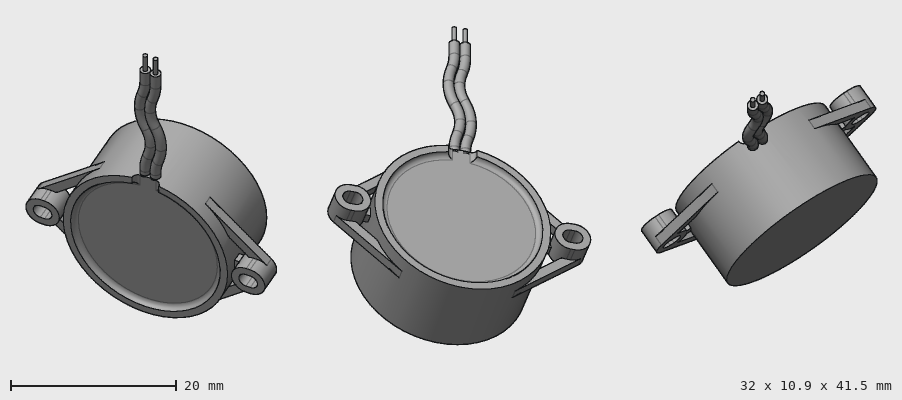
import cadquery as cq
import math

housing_radius = 11.0
housing_depth = 10.9

recess_radius = 10.0
recess_depth = 0.7
notch_half_width = 1.8

overall_width = 32.0
ear_depth = 3.28
ear_length = 4.5
ear_height = 4.0
ear_slot_length = 2.5
ear_slot_height = 1.9
ear_x = (overall_width - ear_length) / 2
arm_thickness = 1.3
arm_width = 1.25
stub_height = 1.2

overall_height = 41.5
sheath_diameter = 1.33
core_diameter = 0.6
wire_pitch = 1.35
wire_y = 1.4
socket_depth = 0.25
sheath_bottom = housing_radius - socket_depth
bend_bottom = 11.58
bend_top = 26.05
sheath_top = 28.1
core_top = overall_height - housing_radius
wave_amplitude = 0.725
wave_peak_spacing = 5.73


def front_plane(y):
    """Sketch plane facing -Y, with local axes along X and Z."""
    return cq.Workplane("XZ", origin=(0, y, 0))


def slot_prism(length, height, depth):
    """Round-ended bar at an ear position, running back from the front face."""
    return front_plane(0).center(ear_x, 0).slot2D(length, height).extrude(-depth)


def ear_arm():
    """Flat arm whose outer edge is tangent to both the ear end and the drum."""
    end_radius = ear_height / 2
    end_x = ear_x + (ear_length - ear_height) / 2
    slope = math.asin((housing_radius - end_radius) / end_x)
    normal_x = math.sin(slope)
    normal_z = math.cos(slope)
    inner_end_radius = end_radius - arm_width
    inner_drum_radius = housing_radius - arm_width
    outline = [
        (end_x + end_radius * normal_x, end_radius * normal_z),
        (housing_radius * normal_x, housing_radius * normal_z),
        (inner_drum_radius * normal_x, inner_drum_radius * normal_z),
        (end_x + inner_end_radius * normal_x, inner_end_radius * normal_z),
    ]
    return front_plane(ear_depth).polyline(outline).close().extrude(arm_thickness)


def ear_body():
    """Right-hand ear with its two arms and central stub, before slotting."""
    arm = ear_arm()
    stub_start = housing_radius / 2
    stub_length = ear_x - stub_start
    stub = (
        front_plane(ear_depth)
        .center(stub_start + stub_length / 2, 0)
        .rect(stub_length, stub_height)
        .extrude(arm_thickness)
    )
    pad = slot_prism(ear_length, ear_height, ear_depth)
    return pad.union(arm).union(arm.mirror("XY")).union(stub)


def rounded_recess_profile(outer_size):
    """Half profile in X and Y, narrowing to the floor along a quarter round."""
    floor_size = outer_size - recess_depth
    diagonal = recess_depth * math.sqrt(0.5)
    return (
        cq.Workplane("XY")
        .lineTo(outer_size, 0)
        .threePointArc((floor_size + diagonal, diagonal), (floor_size, recess_depth))
        .lineTo(0, recess_depth)
        .close()
    )


def front_recess():
    """Round recess joined to the notch that opens through the top of the rim."""
    disc = rounded_recess_profile(recess_radius).revolve(360, (0, 0, 0), (0, 1, 0))
    half_notch = rounded_recess_profile(notch_half_width).extrude(housing_radius)
    return disc.union(half_notch).union(half_notch.mirror("YZ"))


def make_housing():
    body = front_plane(0).circle(housing_radius).extrude(-housing_depth)
    ear = ear_body()
    ear_slot = slot_prism(ear_slot_length, ear_slot_height, ear_depth)
    body = body.union(ear).union(ear.mirror("YZ"))
    body = body.cut(ear_slot).cut(ear_slot.mirror("YZ"))
    body = body.cut(front_recess())
    for offset in wire_offsets:
        socket = wire_rod(offset, sheath_diameter, sheath_bottom, bend_bottom)
        body = body.cut(socket)
    return body


def wire_rod(offset, diameter, bottom, top):
    """Straight vertical length of wire."""
    plane = cq.Workplane("XY", origin=(offset, wire_y, bottom))
    return plane.circle(diameter / 2).extrude(top - bottom)


def wave_path(offset):
    """Tangent arcs swinging right, then left, parallel to the cable centre line."""
    end_height = (bend_top - bend_bottom - wave_peak_spacing) / 2
    right_z = bend_bottom + end_height
    left_z = bend_top - end_height
    end_angle = 2 * math.atan(wave_amplitude / end_height)
    middle_angle = -2 * math.atan(2 * wave_amplitude / wave_peak_spacing)
    stations = [
        (wave_amplitude / 2, (bend_bottom + right_z) / 2, end_angle),
        (wave_amplitude, right_z, 0),
        (0, (right_z + left_z) / 2, middle_angle),
        (-wave_amplitude, left_z, 0),
        (-wave_amplitude / 2, (left_z + bend_top) / 2, end_angle),
        (0, bend_top, 0),
    ]
    path = front_plane(wire_y).moveTo(offset, sheath_bottom).lineTo(offset, bend_bottom)
    for x, z, lean in stations:
        end = (x + offset * math.cos(lean), z - offset * math.sin(lean))
        path = path.tangentArcPoint(end, relative=False)
    return path


def wire_solid(offset, diameter, top):
    """Round wire following the waves and ending straight at the given height."""
    path = wave_path(offset).lineTo(offset, top)
    start = cq.Workplane("XY", origin=(offset, wire_y, sheath_bottom))
    return start.circle(diameter / 2).sweep(path)


def make_core(offset):
    return wire_solid(offset, core_diameter, core_top)


def make_sheath(offset):
    bore = wire_solid(offset, core_diameter, sheath_top)
    return wire_solid(offset, sheath_diameter, sheath_top).cut(bore)


wire_offsets = (-wire_pitch / 2, wire_pitch / 2)
housing = make_housing()
sheaths = [make_sheath(offset) for offset in wire_offsets]
cores = [make_core(offset) for offset in wire_offsets]

result = cq.Compound.makeCompound(
    [housing.solids().val()]
    + [sheath.solids().val() for sheath in sheaths]
    + [core.val() for core in cores]
)